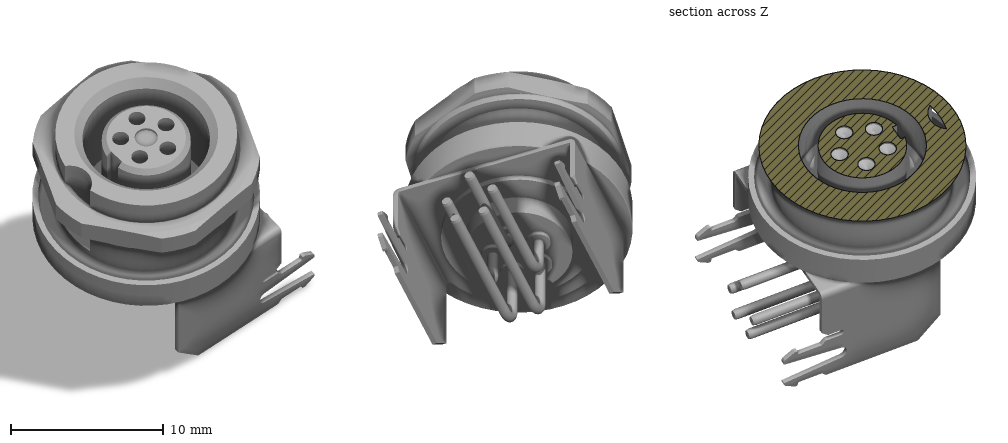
import cadquery as cq
import math


flange_radius = 7.5
flange_height = 2.27
flange_bottom_chamfer = 0.07
seal_wall_radius = 7.11
seal_floor_z = 1.55
seal_fillet = 0.3
body_radius = 5.98
body_top_z = 8.86
bore_radius = 4.2
bore_chamfer = 0.54
bore_floor_z = 2.27

groove_radius = 1.47
groove_apex_y = -5.04
groove_floor_z = 2.35

nut_bottom_z = 5.6
nut_top_z = 7.26
nut_apothem = 7.0
nut_corner_radius = 7.5
nut_face_radius = 6.98
nut_bevel_height = 0.08
nut_turn = 7.3
nut_bore_radius = 5.71
nut_bore_chamfer = 0.49
collar_bottom_z = 5.25
collar_bottom_radius = 6.8
collar_straight = 0.1

core_radius = 2.93
core_top_z = 8.5
core_chamfer = 0.32
insert_step_radius = 3.49
insert_step_z = 2.61
key_width = 1.15
key_floor_y = -2.53
key_floor_z = 3.37
badge_radius = 0.75
badge_depth = 0.2

contact_count = 5
contact_circle_radius = 1.68
contact_hole_radius = 0.55
contact_hole_depth = 3.37
contact_hole_tip = 0.34
pin_radius = 0.35
pin_end_y = 9.0
pin_tip_length = 0.2
pin_tip_radius = 0.3
pin_bend_radius = 1.47
pin_row_z = {"rear": -3.85, "middle": -5.73, "front": -7.63}
pin_pad_radius = 0.8
pin_embed = 0.17

sheet = 0.34
washer_radius = 6.3
step_radius = 5.1
step_bottom_z = -0.74
boss_radius = 3.54
boss_bottom_z = -2.22
pad_bottom_z = -2.53
boss_notch_width = 2.15
boss_notch_floor_y = -2.86
boss_notch_fillet = 0.52

bracket_half_width = 6.42
bracket_bend_radius = 0.44
bracket_front_y = -2.51
bracket_back_y = 6.27
bracket_bottom_z = -7.82
bracket_corner = 1.68
prong_tip_y = 9.07
prong_axis_z = -6.17
slot_axis_z = -6.22


def disc(radius, bottom_z, top_z, x=0.0, y=0.0):
    """Upright cylinder between two heights."""
    return cq.Workplane("XY", origin=(x, y, bottom_z)).circle(radius).extrude(top_z - bottom_z)


def revolved(points):
    """Solid of revolution about Z from (radius, height) points."""
    return cq.Workplane("XZ").polyline(points).close().revolve(360, (0, 0, 0), (0, 1, 0))


def make_shell():
    """Flange with a filleted seal recess, threaded body and stepped bore."""
    flange = disc(flange_radius, 0, flange_height).faces("<Z").chamfer(flange_bottom_chamfer)
    recess = disc(seal_wall_radius, seal_floor_z, flange_height)
    recess = recess.cut(disc(body_radius, seal_floor_z, flange_height))
    recess = recess.faces("<Z").edges().fillet(seal_fillet)
    bore = disc(bore_radius, bore_floor_z, body_top_z)
    mouth = revolved([
        (0, body_top_z - bore_chamfer),
        (bore_radius, body_top_z - bore_chamfer),
        (bore_radius + bore_chamfer, body_top_z),
        (0, body_top_z),
    ])
    groove = disc(groove_radius, groove_floor_z, body_top_z, y=groove_apex_y - groove_radius)
    groove = groove.intersect(disc(body_radius, groove_floor_z, body_top_z))
    body = disc(body_radius, 0, body_top_z)
    return flange.cut(recess).union(body).cut(bore).cut(mouth).cut(groove)


def make_nut():
    """Bevelled hexagon nut with a conical collar below and a chamfered bore."""
    blank = revolved([
        (0, collar_bottom_z),
        (collar_bottom_radius, collar_bottom_z),
        (nut_face_radius, nut_bottom_z - collar_straight),
        (nut_face_radius, nut_bottom_z),
        (nut_corner_radius, nut_bottom_z + nut_bevel_height),
        (nut_corner_radius, nut_top_z - nut_bevel_height),
        (nut_face_radius, nut_top_z),
        (0, nut_top_z),
    ])
    hexagon = (
        cq.Workplane("XY", origin=(0, 0, collar_bottom_z))
        .polygon(6, 2 * nut_apothem, circumscribed=True)
        .extrude(nut_top_z - collar_bottom_z)
        .rotate((0, 0, 0), (0, 0, 1), nut_turn)
    )
    bore = revolved([
        (0, collar_bottom_z),
        (nut_bore_radius, collar_bottom_z),
        (nut_bore_radius, nut_top_z - nut_bore_chamfer),
        (nut_bore_radius + nut_bore_chamfer, nut_top_z),
        (0, nut_top_z),
    ])
    return blank.intersect(hexagon).cut(bore)


def contact_places():
    """Centres of the contacts, starting with the one nearest +Y."""
    for i in range(contact_count):
        angle = math.radians(90 + 360 / contact_count * i)
        yield contact_circle_radius * math.cos(angle), contact_circle_radius * math.sin(angle)


def make_core():
    """Contact insert standing in the bore, with keyway, badge recess and contact holes."""
    core = disc(core_radius, 0, core_top_z).faces(">Z").chamfer(core_chamfer)
    core = core.union(disc(insert_step_radius, 0, insert_step_z))
    keyway = (
        cq.Workplane("XY", origin=(0, 0, key_floor_z))
        .rect(key_width, 2 * core_radius)
        .extrude(core_top_z - key_floor_z)
        .translate((0, key_floor_y - core_radius, 0))
    )
    core = core.cut(keyway).cut(disc(badge_radius, core_top_z - badge_depth, core_top_z))
    hole_floor_z = core_top_z - contact_hole_depth
    hole = revolved([
        (0, hole_floor_z - contact_hole_tip),
        (contact_hole_radius, hole_floor_z),
        (contact_hole_radius, core_top_z),
        (0, core_top_z),
    ])
    for x, y in contact_places():
        core = core.cut(hole.translate((x, y, 0)))
    return core


def make_base():
    """Stepped underside: a washer trimmed clear of the bracket bends, a step and a notched boss."""
    web_width = 2 * (bracket_half_width - bracket_bend_radius)
    web_slab = (
        cq.Workplane("XY", origin=(0, 0, -sheet))
        .rect(web_width, 2 * washer_radius)
        .extrude(sheet)
    )
    washer = disc(washer_radius, -sheet, 0).intersect(web_slab)
    step = disc(step_radius, step_bottom_z, 0)
    boss = disc(boss_radius, boss_bottom_z, 0)
    notch = (
        cq.Workplane("XY", origin=(0, boss_notch_floor_y - boss_radius / 2, boss_bottom_z))
        .rect(boss_notch_width, boss_radius)
        .extrude(step_bottom_z - boss_bottom_z)
        .edges("|Z and >Y")
        .fillet(boss_notch_fillet)
    )
    return washer.union(step).union(boss.cut(notch))


def make_pin(x, y, row_z):
    """Pin that drops from the boss, bends and runs to +Y, with a slim tip and a round pad."""
    pin_start_z = boss_bottom_z + pin_embed
    tip_start_y = pin_end_y - pin_tip_length
    bend_mid = pin_bend_radius * (1 - math.sqrt(0.5))
    path = (
        cq.Workplane("YZ", origin=(x, 0, 0))
        .moveTo(y, pin_start_z)
        .lineTo(y, row_z + pin_bend_radius)
        .threePointArc((y + bend_mid, row_z + bend_mid), (y + pin_bend_radius, row_z))
        .lineTo(tip_start_y, row_z)
    )
    wire = cq.Workplane("XY", origin=(x, y, pin_start_z)).circle(pin_radius).sweep(path)
    tip = cq.Solid.makeCone(
        pin_radius, pin_tip_radius, pin_tip_length, cq.Vector(x, tip_start_y, row_z), cq.Vector(0, 1, 0)
    )
    pad = disc(pin_pad_radius, pad_bottom_z, boss_bottom_z, x, y)
    return wire.union(cq.Workplane(tip)).union(pad)


def row_height(y):
    """Height of the pin's horizontal run: contacts nearer +Y bend higher up."""
    if y > contact_circle_radius / 2:
        return pin_row_z["rear"]
    if y > 0:
        return pin_row_z["middle"]
    return pin_row_z["front"]


def mirrored_z(z):
    """Height on the other side of the prong axis."""
    return 2 * prong_axis_z - z


def make_bracket():
    """Bent sheet bracket: a web under the flange and two side plates with snap prongs."""
    hook_z = -4.52
    hook_root_y, hook_start_y, hook_end_y = 8.0, 8.07, 8.25
    neck_start_y = 5.96
    nose_y, nose_top_z, nose_side_z = 9.0, -4.95, -5.09
    neck_z = -4.82
    upper_prong = [
        (neck_start_y, hook_z),
        (bracket_back_y, neck_z),
        (hook_root_y, neck_z),
        (hook_start_y, hook_z),
        (hook_end_y, hook_z),
        (nose_y, nose_top_z),
        (prong_tip_y, nose_side_z),
    ]
    lower_prong = [(y, mirrored_z(z)) for y, z in reversed(upper_prong)]
    shoulder_y, shoulder_z, shoulder_top_z = 5.81, -4.05, -3.65
    relief_y, relief_end_y = 4.85, 4.65
    slot_root_y, slot_end_y = 4.77, 4.41
    slot_root_half, slot_mouth_half = 0.47, 0.9
    side = (
        cq.Workplane("YZ", origin=(-bracket_half_width, 0, 0))
        .moveTo(bracket_front_y, 0)
        .lineTo(bracket_back_y, 0)
        .lineTo(bracket_back_y, shoulder_top_z)
        .lineTo(shoulder_y, shoulder_z)
        .lineTo(relief_y, shoulder_z)
        .threePointArc((relief_end_y, (shoulder_z + hook_z) / 2), (relief_y, hook_z))
        .polyline(upper_prong, includeCurrent=True)
        .lineTo(prong_tip_y, slot_axis_z + slot_mouth_half)
        .lineTo(slot_root_y, slot_axis_z + slot_root_half)
        .threePointArc((slot_end_y, slot_axis_z), (slot_root_y, slot_axis_z - slot_root_half))
        .lineTo(prong_tip_y, slot_axis_z - slot_mouth_half)
        .polyline(lower_prong, includeCurrent=True)
        .lineTo(bracket_front_y + bracket_corner, bracket_bottom_z)
        .lineTo(bracket_front_y, bracket_bottom_z + bracket_corner)
        .close()
        .extrude(2 * bracket_half_width)
    )
    depth = prong_tip_y - bracket_front_y
    height = -bracket_bottom_z
    channel = (
        cq.Workplane("XZ", origin=(0, prong_tip_y, 0))
        .moveTo(0, -height)
        .rect(2 * bracket_half_width, 2 * height)
        .extrude(depth)
        .edges("|Y and >Z")
        .fillet(bracket_bend_radius)
    )
    hollow = (
        cq.Workplane("XZ", origin=(0, prong_tip_y, 0))
        .moveTo(0, -height - sheet)
        .rect(2 * (bracket_half_width - sheet), 2 * height)
        .extrude(depth)
        .edges("|Y and >Z")
        .fillet(bracket_bend_radius - sheet)
    )
    return side.intersect(channel.cut(hollow))


result = make_shell().union(make_nut()).union(make_core()).union(make_base()).union(make_bracket())
for contact_x, contact_y in contact_places():
    result = result.union(make_pin(contact_x, contact_y, row_height(contact_y)))